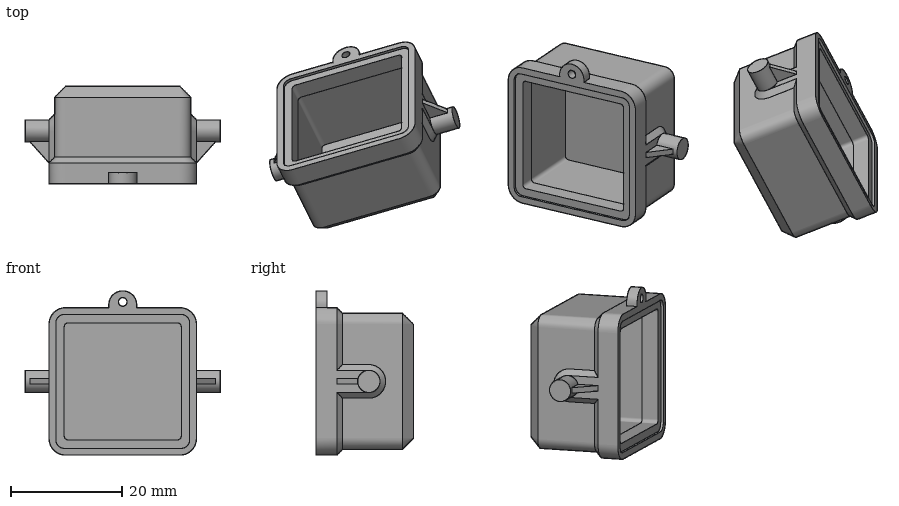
import cadquery as cq

overall_length = 35.0
flange_width = 26.5
flange_depth = 3.75
flange_radius = 3.0

shoulder = 1.0
box_width = flange_width - 2 * shoulder
box_radius = flange_radius - shoulder
box_depth = 17.5
back_chamfer = box_radius

cavity_width = 21.0
cavity_radius = 0.7
back_wall = 2.0
seat_width = 24.0
seat_radius = 1.5
seal_setback = 0.5
seal_depth = 3.0
seat_depth = seal_setback + seal_depth

pin_diameter = 4.0
pin_radius = pin_diameter / 2
pin_y = 9.5
pad_base_radius = pin_radius + shoulder
rib_thickness = 1.0
rib_tip_inset = 0.88

tab_height = 3.0
tab_radius = 2.52
tab_thickness = 2.0
tab_hole_diameter = 1.5
tab_hole_rise = 1.0


def rounded_block(width, radius, start, end):
    """Square block with rounded long edges, running along Y from start to end."""
    block = cq.Workplane("XY").box(width, end - start, width).edges("|Y").fillet(radius)
    return block.translate((0, (start + end) / 2, 0))


def make_shell():
    """Flange, sloped shoulder and box with a chamfered back."""
    flange = rounded_block(flange_width, flange_radius, 0, flange_depth + shoulder)
    flange = flange.faces(">Y").chamfer(shoulder)
    box = rounded_block(box_width, box_radius, 0, box_depth)
    corner_clearance = 0.0005
    box = box.faces(">Y").chamfer(back_chamfer - corner_clearance)
    return flange.union(box)


def make_pad():
    """Raised pad on the +X side: a conical end and sloped flanks that run into the flange."""
    pad_outer = flange_width / 2
    pad_inner = box_width / 2
    cone = cq.Workplane(
        cq.Solid.makeCone(
            pad_base_radius, pin_radius, shoulder,
            cq.Vector(pad_inner, pin_y, 0), cq.Vector(1, 0, 0),
        )
    )
    flanks = (
        cq.Workplane("XZ", origin=(0, pin_y, 0))
        .moveTo(pad_inner, -pad_base_radius)
        .lineTo(pad_outer, -pin_radius)
        .lineTo(pad_outer, pin_radius)
        .lineTo(pad_inner, pad_base_radius)
        .close()
        .extrude(pin_y - flange_depth)
    )
    return cone.union(flanks)


def make_trunnion():
    """Pin, pad and triangular rib on the +X side."""
    root = box_width / 2
    pin = (
        cq.Workplane("YZ", origin=(root, pin_y, 0))
        .circle(pin_radius)
        .extrude(overall_length / 2 - root)
    )
    rib = (
        cq.Workplane("XY")
        .moveTo(flange_width / 2, flange_depth)
        .lineTo(overall_length / 2 - rib_tip_inset, pin_y - pin_radius)
        .lineTo(overall_length / 2 - rib_tip_inset, pin_y)
        .lineTo(root, pin_y)
        .lineTo(root, flange_depth)
        .close()
        .extrude(rib_thickness / 2, both=True)
    )
    return pin.union(make_pad()).union(rib)


def make_tab():
    """Round-topped tab, its foot sunk into the flange rim."""
    rim = flange_width / 2
    arc_center = rim + tab_height - tab_radius
    foot = rim - shoulder
    return (
        cq.Workplane("XZ")
        .moveTo(-tab_radius, foot)
        .lineTo(-tab_radius, arc_center)
        .threePointArc((0, rim + tab_height), (tab_radius, arc_center))
        .lineTo(tab_radius, foot)
        .close()
        .extrude(-tab_thickness)
    )


def make_tab_hole():
    return (
        cq.Workplane("XZ")
        .center(0, flange_width / 2 + tab_hole_rise)
        .circle(tab_hole_diameter / 2)
        .extrude(-tab_thickness)
    )


def make_housing(cavity, seat):
    trunnion = make_trunnion()
    body = make_shell().union(trunnion).union(trunnion.mirror("YZ"))
    body = body.union(make_tab()).cut(make_tab_hole())
    return body.cut(cavity).cut(seat)


def make_seal(cavity):
    """Rectangular ring at the bottom of the seat, flush with the cavity walls."""
    return rounded_block(seat_width, seat_radius, seal_setback, seat_depth).cut(cavity)


cavity = rounded_block(cavity_width, cavity_radius, 0, box_depth - back_wall)
seat = rounded_block(seat_width, seat_radius, 0, seat_depth)
housing = make_housing(cavity, seat)
seal = make_seal(cavity)

result = cq.Compound.makeCompound([housing.val(), seal.val()])